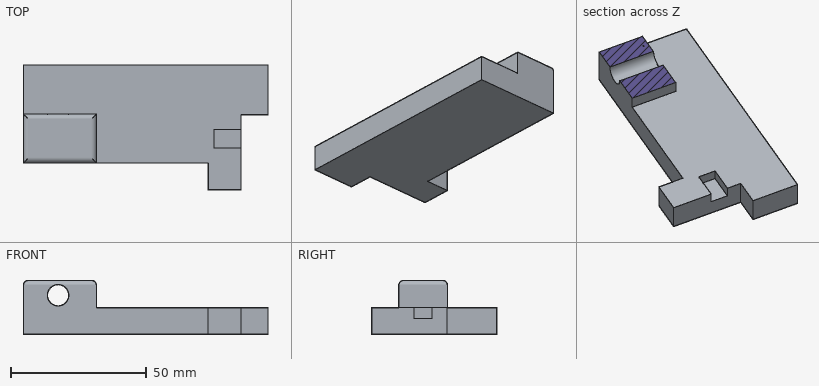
import cadquery as cq

length = 90.4
depth = 46.2
thickness = 9.9
foot_depth = 9.9
foot_left = 68.2
foot_right = 80.3
tail_front = 27.7

height = 20.0
block_length = 27.0
block_depth = 18.1
edge_radius = 1.9

hole_diameter = 7.8
hole_x = 12.8
hole_z = 14.5

slot_length = 10.0
slot_width = 6.7
slot_front = 15.5
slot_depth = 4.0


def make_plate():
    outline = [
        (0, foot_depth),
        (foot_left, foot_depth),
        (foot_left, 0),
        (foot_right, 0),
        (foot_right, tail_front),
        (length, tail_front),
        (length, depth),
        (0, depth),
    ]
    return cq.Workplane("XY").polyline(outline).close().extrude(thickness)


def make_block():
    block = cq.Workplane("XY").box(block_length, block_depth, height, centered=False)
    block = block.faces(">Z").edges().fillet(edge_radius)
    return block.translate((0, foot_depth, 0))


def make_cross_hole():
    hole = cq.Workplane("XZ").center(hole_x, hole_z).circle(hole_diameter / 2)
    return hole.extrude(-depth)


def make_slot():
    slot = cq.Workplane("XY").box(slot_length, slot_width, slot_depth, centered=False)
    return slot.translate((foot_right - slot_length, slot_front, thickness - slot_depth))


body = make_plate().union(make_block())
result = body.cut(make_cross_hole()).cut(make_slot())